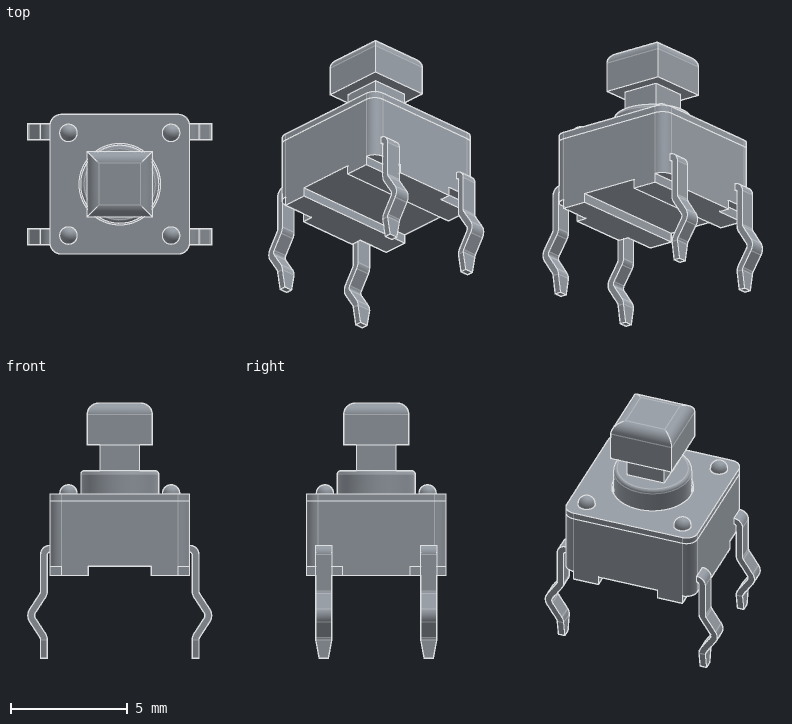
import cadquery as cq
import math


body_width = 6.0
corner_radius = 0.5
foot_height = 0.4
body_top = 3.5
cover_thickness = 0.3
cover_bottom = body_top - cover_thickness
foot_slot_width = 2.7
foot_tongue_width = 2.9
foot_bar_width = body_width - 2 * corner_radius

stud_diameter = 0.75
stud_offset = 2.2
stud_top = 3.9
stud_radius = stud_diameter / 2
stud_shoulder = stud_top - stud_radius

cover_hole_diameter = 3.5
collar_diameter = 3.35
collar_top = 4.5
collar_rounding = 0.15
stem_width = 1.7
head_width = 2.8
head_bottom = 5.6
head_top = 7.4
head_rounding = 0.5

terminal_thickness = 0.3
terminal_width = 0.7
terminal_pitch = 4.5
terminal_tip_width = 0.4
terminal_tip = -3.55
terminal_span = 7.89
terminal_root = body_width / 2 - corner_radius
terminal_shoulder_top = 1.3
terminal_level = terminal_shoulder_top - terminal_thickness / 2
leg_outer_face = 3.4
leg_offset = leg_outer_face - terminal_thickness / 2
shoulder_bend_radius = 0.25
kink_bend_radius = 0.35
kink_angle = math.radians(33)
kink_middle = -1.71
kink_peak = terminal_span / 2 - terminal_thickness / 2
kink_corner = kink_peak + kink_bend_radius * (1 / math.cos(kink_angle) - 1)
kink_half_height = (kink_corner - leg_offset) / math.tan(kink_angle)
taper_start = kink_middle - kink_half_height - kink_bend_radius * math.tan(kink_angle / 2)


def make_block(width, bottom, top):
    """Square block centred on the Z axis."""
    return cq.Workplane("XY").workplane(offset=bottom).rect(width, width).extrude(top - bottom)


def make_cylinder(diameter, bottom, top):
    """Upright cylinder on the Z axis."""
    return cq.Workplane("XY").workplane(offset=bottom).circle(diameter / 2).extrude(top - bottom)


def make_studs():
    """List of four round studs with hemispherical tops, starting at the underside of the cover."""
    stud = make_cylinder(stud_diameter, cover_bottom, stud_shoulder).union(
        cq.Workplane("XY").workplane(offset=stud_shoulder).sphere(stud_radius)
    )
    places = (-stud_offset, stud_offset)
    return [stud.translate((x, y, 0)) for x in places for y in places]


def make_feet():
    """Two T-shaped feet, separated by a slot along Y."""
    cross_bars = cq.Workplane("XY").rect(foot_bar_width, body_width).extrude(foot_height)
    tongues = cq.Workplane("XY").rect(body_width, foot_tongue_width).extrude(foot_height)
    slot = cq.Workplane("XY").rect(foot_slot_width, body_width).extrude(foot_height)
    return cross_bars.union(tongues).cut(slot)


def make_terminal():
    """Bent strip on the +X side, centred on Y = 0, with a tapered tip."""
    kink_corners = [
        (leg_offset, kink_middle + kink_half_height),
        (kink_corner, kink_middle),
        (leg_offset, kink_middle - kink_half_height),
    ]
    corners = [
        (terminal_root, terminal_level),
        (leg_offset, terminal_level),
        *kink_corners,
        (leg_offset, terminal_tip),
    ]
    path = cq.Wire.makePolygon([cq.Vector(x, 0, z) for x, z in corners])
    shoulder = cq.Workplane(path).vertices(cq.NearestToPointSelector((leg_offset, 0, terminal_level)))
    path = path.fillet2D(shoulder_bend_radius, shoulder.vals())
    for x, z in kink_corners:
        kink = cq.Workplane(path).vertices(cq.NearestToPointSelector((x, 0, z)))
        path = path.fillet2D(kink_bend_radius, kink.vals())
    strip = (
        cq.Workplane("YZ", origin=(terminal_root, 0, terminal_level))
        .rect(terminal_width, terminal_thickness)
        .sweep(cq.Workplane(path))
    )
    tapered_front = (
        cq.Workplane("YZ")
        .moveTo(-terminal_tip_width / 2, terminal_tip)
        .lineTo(terminal_tip_width / 2, terminal_tip)
        .lineTo(terminal_width / 2, taper_start)
        .lineTo(terminal_width / 2, body_top)
        .lineTo(-terminal_width / 2, body_top)
        .lineTo(-terminal_width / 2, taper_start)
        .close()
        .extrude(terminal_span / 2)
    )
    return strip.intersect(tapered_front)


def make_base():
    """Moulded base: rounded block on feet, with the studs and the four moulded-in terminals."""
    base = make_block(body_width, foot_height, cover_bottom).edges("|Z").fillet(corner_radius)
    base = base.union(make_feet())
    for stud in make_studs():
        base = base.union(stud)
    terminal = make_terminal()
    for y in (-terminal_pitch / 2, terminal_pitch / 2):
        for turn in (0, 180):
            base = base.union(terminal.rotate((0, 0, 0), (0, 0, 1), turn).translate((0, y, 0)))
    return base


def make_cover():
    """Flush cover plate with a clearance hole for the plunger and a hole for each stud."""
    cover = make_block(body_width, cover_bottom, body_top).edges("|Z").fillet(corner_radius)
    cover = cover.cut(make_cylinder(cover_hole_diameter, cover_bottom, body_top))
    for stud in make_studs():
        cover = cover.cut(stud)
    return cover


def make_plunger():
    """Round collar resting on the base, square stem, and square head with a rounded top rim."""
    collar = make_cylinder(collar_diameter, cover_bottom, collar_top)
    collar = collar.faces(">Z").edges().fillet(collar_rounding)
    stem = make_block(stem_width, collar_top, head_bottom)
    head = make_block(head_width, head_bottom, head_top).faces(">Z").edges().fillet(head_rounding)
    return collar.union(stem).union(head)


base = make_base()
cover = make_cover()
plunger = make_plunger()

result = cq.Compound.makeCompound([base.val(), cover.val(), plunger.val()])